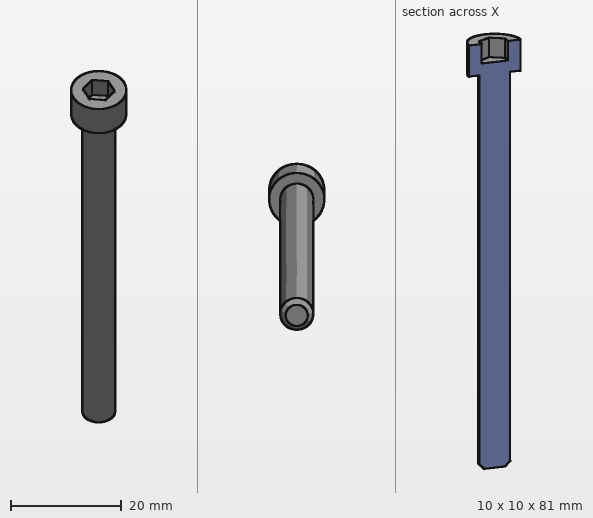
import cadquery as cq
import math

thread_diameter = 6.0
shank_length = 75.0
thread_length = 24.0
tip_chamfer = 1.0

head_diameter = 10.0
head_height = thread_diameter
socket_sides = 6
socket_across_flats = 5.0
socket_floor_thickness = 2.3
socket_depth = head_height - socket_floor_thickness


def make_head():
    return cq.Workplane("XY").circle(head_diameter / 2).extrude(head_height)


def make_plain_shank():
    plain_length = shank_length - thread_length
    return cq.Workplane("XY").circle(thread_diameter / 2).extrude(-plain_length)


def make_threaded_end():
    """Smooth cylinder standing in for the thread, chamfered at the tip."""
    return (
        cq.Workplane("XY")
        .workplane(offset=-shank_length)
        .circle(thread_diameter / 2)
        .extrude(thread_length)
        .faces("<Z")
        .chamfer(tip_chamfer)
    )


def make_hex_socket():
    """Hexagon with two corners on the X axis, cut down from the top of the head."""
    across_corners = socket_across_flats / math.cos(math.pi / socket_sides)
    return (
        cq.Workplane("XY")
        .workplane(offset=head_height)
        .polygon(socket_sides, across_corners)
        .extrude(-socket_depth)
    )


shank = make_plain_shank().union(make_threaded_end(), clean=False)
result = make_head().union(shank, clean=False).cut(make_hex_socket(), clean=False)